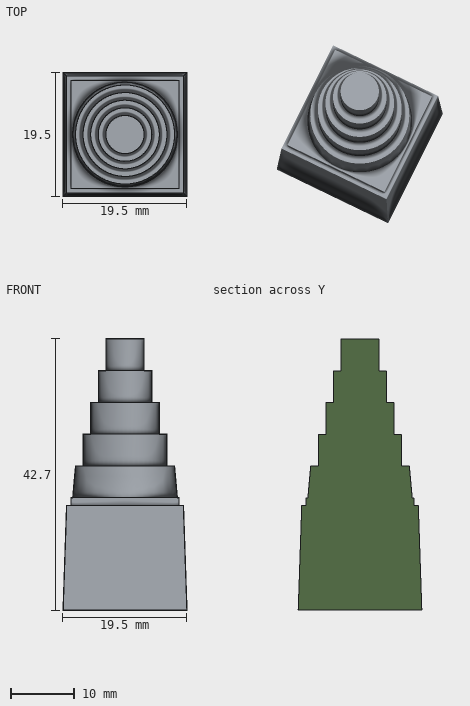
import cadquery as cq

total_height = 42.7
base_width = 19.5

base_top_width = 18.4
plate_width = 17.0
plate_height = 1.25

tier_height = 5.0
tier_count = 5
top_tier_diameter = 6.0
tier_diameter_step = 2.4
cone_bottom_diameter = 16.5

base_height = total_height - plate_height - tier_count * tier_height
cone_top_diameter = top_tier_diameter + (tier_count - 1) * tier_diameter_step


def tapered_base():
    """Square block that narrows evenly towards its top."""
    return (
        cq.Workplane("XY")
        .rect(base_width, base_width)
        .workplane(offset=base_height)
        .rect(base_top_width, base_top_width)
        .loft(ruled=True, combine=True)
    )


def square_plate(part):
    """Add the plate that carries the round tiers."""
    return part.faces(">Z").workplane().rect(plate_width, plate_width).extrude(plate_height)


def conical_tier(part):
    """Add the lowest round tier, which narrows upwards."""
    return (
        part.faces(">Z")
        .workplane()
        .circle(cone_bottom_diameter / 2)
        .workplane(offset=tier_height)
        .circle(cone_top_diameter / 2)
        .loft(ruled=True, combine=True)
    )


def straight_tier(part, diameter):
    """Add one cylindrical tier on top of the part."""
    return part.faces(">Z").workplane().circle(diameter / 2).extrude(tier_height)


result = conical_tier(square_plate(tapered_base()))
for tier in range(1, tier_count):
    result = straight_tier(result, cone_top_diameter - tier * tier_diameter_step)